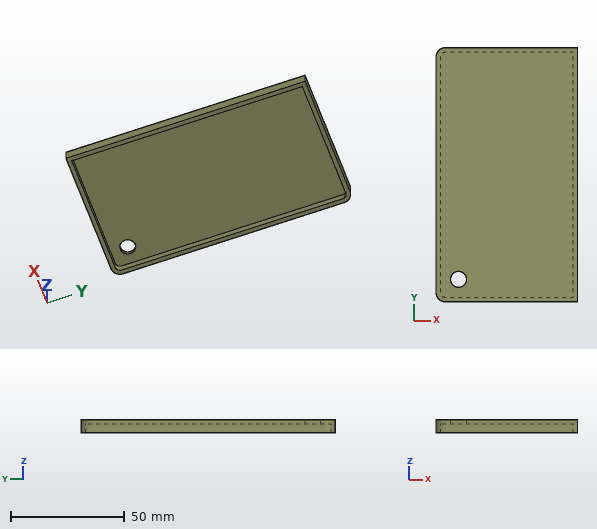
import cadquery as cq

width = 62.5
length = 112.2
height = 6.0
corner_radius = 4.3

wall = 2.0

hole_diameter = 7.0
hole_inset = 10.0


def rounded_block(size_x, size_y, size_z, radius):
    """Block from the origin with its two left vertical edges rounded."""
    block = cq.Workplane("XY").box(size_x, size_y, size_z, centered=False)
    return block.edges("|Z and <X").fillet(radius)


body = rounded_block(width, length, height, corner_radius)

cavity = rounded_block(
    width - 2 * wall,
    length - 2 * wall,
    height - wall,
    corner_radius - wall,
).translate((wall, wall, 0))

hole = cq.Workplane("XY").center(hole_inset, hole_inset).circle(hole_diameter / 2).extrude(height)

result = body.cut(cavity).cut(hole)